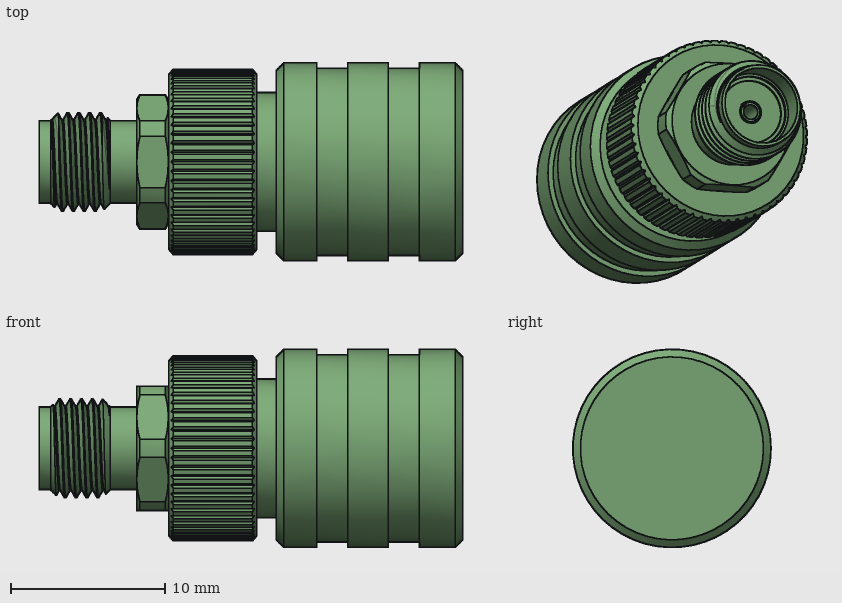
import cadquery as cq
import math


thread_start = 0.73
thread_end = 4.6
hex_start = 6.3
knurl_start = 8.38
knurl_end = 14.1
collar_start = 15.35
total_length = 27.43

barrel_radius = 2.68
rear_neck_radius = 4.5
collar_radius = 12.85 / 2

mouth_radius = 2.47
socket_radius = 2.3
mouth_depth = 1.9
socket_depth = 2.1
insulator_radius = 2.05
insulator_recess = 0.1

contact_radius = 0.64
contact_clearance_radius = 0.73
contact_clearance_depth = 0.5
contact_hole_radius = 0.48
contact_hole_depth = 2.5
drill_point_length = 0.28

thread_pitch = 25.4 / 36
thread_major_radius = 3.2
thread_root_radius = 2.75
thread_crest_flat = thread_pitch / 8
thread_flank_angle = 30
thread_ridge_embed = 0.05
thread_clearance = 0.2
thread_turns = 8
ridge_lead_in_turns = 3
lower_crest_station = 1.68
ridge_start = lower_crest_station - ridge_lead_in_turns * thread_pitch

hex_across_flats = 8.06
hex_corner_radius = 4.36
hex_face_radius = 4.0
hex_chamfer_length = 0.22

knurl_radius = 6.0
knurl_chamfer_radial = 0.35
knurl_chamfer_length = 0.3
knurl_count = 60
knurl_groove_width = 0.29
knurl_groove_depth = 0.14

collar_chamfer = 0.5
grip_groove_depth = 0.35
grip_groove_width = 2.0
grip_groove_starts = (17.98, 22.62)


def revolve_about_x(points):
    """Solid of revolution about X of an outline of (x, radius) points."""
    return cq.Workplane("XY").polyline(points).close().revolve(360, (0, 0, 0), (1, 0, 0))


def cylinder(start, end, radius):
    return cq.Workplane("YZ", origin=(start, 0, 0)).circle(radius).extrude(end - start)


def chamfered_cylinder(start, end, radius, chamfer_length, end_radius):
    return revolve_about_x([
        (start, 0),
        (start, end_radius),
        (start + chamfer_length, radius),
        (end - chamfer_length, radius),
        (end, end_radius),
        (end, 0),
    ])


def make_thread():
    """Core with a right-hand helical ridge, both ends chamfered at 45 degrees."""
    ridge_base_radius = thread_root_radius - thread_ridge_embed
    ridge_height = thread_major_radius - ridge_base_radius
    half_crest = thread_crest_flat / 2
    half_base = half_crest + ridge_height * math.tan(math.radians(thread_flank_angle))
    helix = cq.Wire.makeHelix(thread_pitch, thread_turns * thread_pitch, thread_root_radius)
    ridge = (
        cq.Workplane("XZ")
        .polyline([
            (ridge_base_radius, -half_base),
            (thread_major_radius, -half_crest),
            (thread_major_radius, half_crest),
            (ridge_base_radius, half_base),
        ])
        .close()
        .sweep(cq.Workplane(helix), isFrenet=True)
        .rotate((0, 0, 0), (0, 1, 0), 90)
        .translate((ridge_start, 0, 0))
    )
    core = cylinder(0, hex_start, thread_root_radius)
    envelope_radius = thread_major_radius + thread_clearance
    chamfer = envelope_radius - barrel_radius
    envelope = chamfered_cylinder(thread_start, thread_end, envelope_radius, chamfer, barrel_radius)
    return core.union(ridge).intersect(envelope)


def make_hexagon():
    """Hexagon with flats facing +Z and -Z, its corners turned down and chamfered."""
    corner_diameter = hex_across_flats / math.cos(math.pi / 6)
    prism = (
        cq.Workplane("YZ", origin=(hex_start, 0, 0))
        .polygon(6, corner_diameter)
        .extrude(knurl_start - hex_start)
    )
    turned = chamfered_cylinder(
        hex_start, knurl_start, hex_corner_radius, hex_chamfer_length, hex_face_radius
    )
    return prism.intersect(turned)


def make_knurled_ring():
    """Chamfered ring with straight V grooves around its rim."""
    end_radius = knurl_radius - knurl_chamfer_radial
    rim = chamfered_cylinder(knurl_start, knurl_end, knurl_radius, knurl_chamfer_length, end_radius)
    valley_radius = knurl_radius - knurl_groove_depth
    outer_radius = knurl_radius + knurl_groove_depth
    groove = (
        cq.Workplane("YZ", origin=(knurl_start, 0, 0))
        .polyline([
            (valley_radius, 0),
            (outer_radius, -knurl_groove_width),
            (outer_radius, knurl_groove_width),
        ])
        .close()
        .extrude(knurl_end - knurl_start)
    )
    groove_step = 360 / knurl_count
    grooves = [
        groove.rotate((0, 0, 0), (1, 0, 0), index * groove_step).val()
        for index in range(knurl_count)
    ]
    return rim.cut(cq.Workplane(cq.Compound.makeCompound(grooves)))


def make_collar():
    """Chamfered rear collar with two shallow grip grooves."""
    collar = chamfered_cylinder(
        collar_start, total_length, collar_radius, collar_chamfer, collar_radius - collar_chamfer
    )
    for start in grip_groove_starts:
        end = start + grip_groove_width
        ring = cylinder(start, end, collar_radius + grip_groove_depth)
        collar = collar.cut(ring.cut(cylinder(start, end, collar_radius - grip_groove_depth)))
    return collar


def make_socket():
    """Cavity of the socket: stepped bore, insulator recess and the gap around the contact."""
    insulator_face = socket_depth + insulator_recess
    gap_end = insulator_face + contact_clearance_depth
    bore = cylinder(0, mouth_depth, mouth_radius)
    bore = bore.union(cylinder(mouth_depth, socket_depth, socket_radius))
    bore = bore.union(cylinder(socket_depth, insulator_face, insulator_radius))
    gap = cylinder(insulator_face, gap_end, contact_clearance_radius)
    gap = gap.cut(cylinder(insulator_face, gap_end, contact_radius))
    return bore.union(gap)


def make_contact_hole():
    """Hole in the centre contact, ending in a drill point."""
    start = socket_depth + insulator_recess
    hole_end = start + contact_hole_depth
    return revolve_about_x([
        (start, 0),
        (start, contact_hole_radius),
        (hole_end, contact_hole_radius),
        (hole_end + drill_point_length, 0),
    ])


body = cylinder(0, hex_start, barrel_radius)
body = body.union(make_hexagon())
body = body.union(make_knurled_ring())
body = body.union(cylinder(knurl_end, collar_start, rear_neck_radius))
body = body.union(make_collar())
body = body.union(make_thread())

result = body.cut(make_socket()).cut(make_contact_hole())